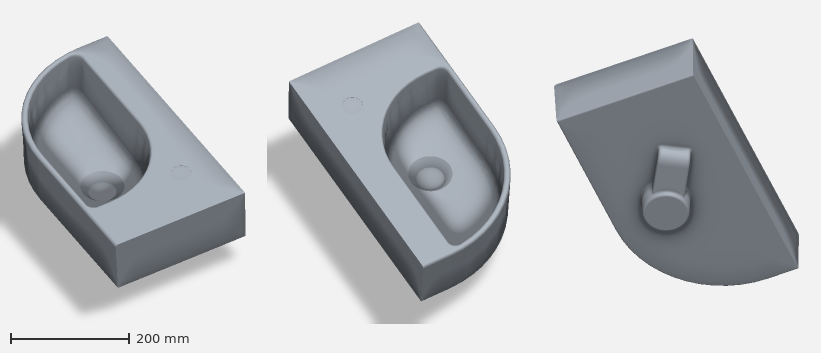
import cadquery as cq
import math

length = 455.8
width = 255.5
body_height = 101.5
overall_height = 141.5
body_corner_radius = 200.5
wall_draft = 2.6
back_lean = 1.0
rim_fillet = 5.0
underside_fillet = 2.7

wall_thickness = 10.5
bowl_right = 356.0
bowl_back = 191.5
bowl_back_radius = 145.5
bowl_draft = 6.3
bowl_corner_radius = 14.0
bowl_edge_fillet = 4.5
floor_fillet = 13.0
floor_slope = 0.1

drain_x = 229.5
drain_y = 109.0
drain_top_radius = 37.5
drain_bottom_radius = 23.5
drain_rim_depth = 95.5
drain_depth = 12.8
spigot_top_radius = 42.0
spigot_bottom_radius = 39.0
spigot_edge_fillet = 4.0
joint_fillet = 4.0
seam_fillet = 3.5

channel_angle = 31.0
channel_length = 111.0
channel_width = 54.5
channel_depth_at_drain = 34.5
channel_depth_at_end = 24.5
channel_end_radius = 23.0
channel_edge_fillet = 5.5

mark_depth = 0.5
tap_x = 357.8
tap_y = 187.5
tap_radius = 18.0
overflow_radius = 12.8
overflow_depth = 35.0
overflow_angle = 48.6

clearance = 23.0
tolerance = 0.5
spigot_height = overall_height - body_height
drain_rim_z = body_height - drain_rim_depth
bowl_back_centre_x = bowl_right - bowl_back_radius
bowl_back_centre_y = bowl_back - bowl_back_radius


def arc_middle(centre_x, centre_y, radius):
    """45-degree point of a circle; a negative radius gives the opposite point."""
    step = radius * math.sqrt(0.5)
    return centre_x + step, centre_y + step


def revolve_at_drain(profile):
    """Revolve a closed (radius, Z) profile about the drain axis."""
    sketch = cq.Workplane("XZ", origin=(drain_x, drain_y, 0)).polyline(profile).close()
    return sketch.revolve(360, (0, 0, 0), (0, 1, 0))


def box_around(x_range, y_range, z_range):
    """Selector for edges whose centre lies in the given ranges."""
    return cq.selectors.BoxSelector(*zip(x_range, y_range, z_range))


def make_body():
    """Block with drafted left and front walls joined by one large round corner."""
    draft = math.radians(wall_draft)
    edge = -rim_fillet * (math.tan(draft) + 1 / math.cos(draft) - 1)
    centre = edge + body_corner_radius
    far_x = length + clearance
    far_y = width + clearance
    drafted = (
        cq.Workplane("XY", origin=(0, 0, body_height))
        .moveTo(edge, far_y)
        .lineTo(edge, centre)
        .threePointArc(arc_middle(centre, centre, -body_corner_radius), (centre, edge))
        .lineTo(far_x, edge)
        .lineTo(far_x, far_y)
        .close()
        .extrude(-body_height, taper=wall_draft)
    )
    back_trim = (
        cq.Workplane("YZ", origin=(-clearance, 0, 0))
        .moveTo(-clearance, 0)
        .lineTo(width, 0)
        .lineTo(width - back_lean, body_height)
        .lineTo(-clearance, body_height)
        .close()
        .extrude(length + clearance)
    )
    body = drafted.intersect(back_trim)
    return body.faces("<Z").edges("not >Y").fillet(underside_fillet)


def make_bowl():
    """Solid filling the bowl: drafted walls above a shallow cone that falls to the drain."""
    front_radius = body_corner_radius - wall_thickness
    left_offset = math.sqrt(front_radius**2 - (bowl_back - body_corner_radius) ** 2)
    bowl_left = body_corner_radius - left_offset
    back_middle = arc_middle(bowl_back_centre_x, bowl_back_centre_y, bowl_back_radius)
    front_middle = arc_middle(body_corner_radius, body_corner_radius, -front_radius)
    walls = (
        cq.Workplane("XY", origin=(0, 0, body_height))
        .moveTo(body_corner_radius, wall_thickness)
        .lineTo(bowl_right, wall_thickness)
        .lineTo(bowl_right, bowl_back_centre_y)
        .threePointArc(back_middle, (bowl_back_centre_x, bowl_back))
        .lineTo(bowl_left, bowl_back)
        .threePointArc(front_middle, (body_corner_radius, wall_thickness))
        .close()
        .extrude(-body_height, taper=bowl_draft)
    )
    tip_z = drain_rim_z - floor_slope * drain_top_radius
    reach = length
    above_floor = revolve_at_drain(
        [(0, tip_z), (reach, tip_z + floor_slope * reach), (reach, 2 * body_height), (0, 2 * body_height)]
    )
    bowl = walls.intersect(above_floor)
    for x, y in ((bowl_left, bowl_back), (bowl_right, wall_thickness)):
        upright = box_around(
            (x - clearance, x + clearance),
            (y - clearance, y + clearance),
            (body_height / 2, body_height - clearance),
        )
        bowl = bowl.edges(upright).fillet(bowl_corner_radius)
    return bowl.faces("<Z").edges().fillet(floor_fillet)


def round_deck_edges(basin):
    """Round the bowl opening, then the left and front edges of the deck."""
    opening = basin.faces(">Z").val().innerWires()[0].Edges()
    basin = basin.newObject(opening).fillet(bowl_edge_fillet)
    deck_edge = basin.newObject(basin.faces(">Z").val().outerWire().Edges())
    return deck_edge.edges("not (>Y or >X)").fillet(rim_fillet)


def make_spigot():
    spigot = revolve_at_drain(
        [(0, 0), (spigot_top_radius, 0), (spigot_bottom_radius, -spigot_height), (0, -spigot_height)]
    )
    return spigot.faces("<Z").edges().fillet(spigot_edge_fillet)


def make_channel():
    """Channel along +X from the drain, with a rising bottom and a rounded lower end."""
    channel = (
        cq.Workplane("XZ")
        .lineTo(0, -channel_depth_at_drain)
        .lineTo(channel_length, -channel_depth_at_end)
        .lineTo(channel_length, 0)
        .close()
        .extrude(channel_width / 2, both=True)
    )
    channel = channel.faces(">X").edges("<Z").fillet(channel_end_radius)
    channel = channel.faces(">X").edges("|Z").fillet(channel_edge_fillet)
    return channel.translate((drain_x, drain_y, 0))


def make_outlet():
    """Spigot and channel blended together, with the channel swung toward the overflow."""
    outlet = make_spigot().union(make_channel())
    seam = box_around(
        (drain_x + spigot_bottom_radius / 2, drain_x + spigot_top_radius),
        (drain_y - channel_width, drain_y + channel_width),
        (-channel_depth_at_drain, -tolerance),
    )
    outlet = outlet.edges(seam).edges("not %LINE").fillet(seam_fillet)
    return outlet.rotate((drain_x, drain_y, 0), (drain_x, drain_y, 1), channel_angle)


def make_drain():
    drain_floor_z = drain_rim_z - drain_depth
    return revolve_at_drain(
        [
            (0, drain_rim_z),
            (drain_top_radius, drain_rim_z),
            (drain_bottom_radius, drain_floor_z),
            (0, drain_floor_z),
        ]
    )


def make_tap_mark():
    mark = cq.Workplane("XY", origin=(tap_x, tap_y, body_height))
    return mark.circle(tap_radius).extrude(-mark_depth)


def make_overflow_mark():
    """Round plug reaching just past the bowl's curved, drafted back wall."""
    top_radius = bowl_back_radius + mark_depth
    bottom_radius = top_radius - body_height * math.tan(math.radians(bowl_draft))
    wall_cone = cq.Workplane(
        cq.Solid.makeCone(
            bottom_radius, top_radius, body_height, cq.Vector(bowl_back_centre_x, bowl_back_centre_y, 0)
        )
    )
    angle = math.radians(overflow_angle)
    outward = (math.cos(angle), math.sin(angle), 0)
    start = (bowl_back_centre_x, bowl_back_centre_y, body_height - overflow_depth)
    plug = (
        cq.Workplane(cq.Plane(origin=start, normal=outward))
        .workplane(offset=bowl_back_radius - clearance)
        .circle(overflow_radius)
        .extrude(2 * clearance)
    )
    return plug.intersect(wall_cone)


basin = round_deck_edges(make_body().cut(make_bowl()))
basin = basin.union(make_outlet())

joint_zone = box_around(
    (drain_x - 2 * spigot_top_radius, drain_x + channel_length),
    (drain_y - 2 * spigot_top_radius, drain_y + channel_length),
    (-tolerance, tolerance),
)
basin = basin.edges(joint_zone).fillet(joint_fillet)

result = basin.cut(make_drain()).cut(make_tap_mark()).cut(make_overflow_mark())